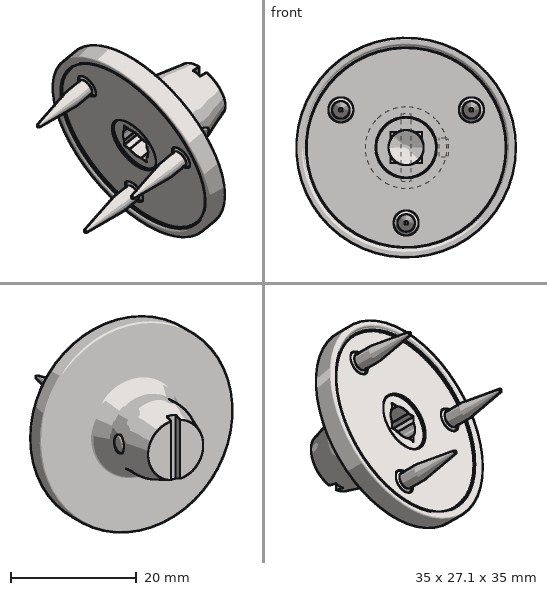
import cadquery as cq
import math


disc_radius = 17.5
disc_thickness = 3.65
disc_edge_round = 0.3
rim_inner_radius = 16.65
recess_radius = 15.95
floor_y = 1.05
lip_depth = 0.4
hub_end_y = 16.55
hub_end_radius = 5.0
hub_radius = 6.5
taper_corner_y = 11.0
taper_round = 5.25
flare_start_y = 6.9
flare_start_round = 0.52
flare_end_radius = 8.12
flare_end_round = 0.5
slot_width = 1.6
slot_depth = 1.47

plate_radius = 15.85
plate_thickness = 0.35
plate_hole_radius = 4.85

socket_radius = 4.75
socket_length = 11.2
square_side = 4.97
square_depth = 7.0
bore_radius = 2.8
bore_depth = 8.4
drill_point_angle = 120.0

spike_count = 3
spike_circle_radius = 12.0
spike_first_angle = 30.0
spike_radius = 1.4
spike_collar_radius = 2.0
spike_root_depth = 1.4
spike_taper_y = -2.87
spike_tip_y = -10.5
spike_tip_radius = 0.28

button_radius = 1.55
button_y = 9.62
button_base_x = 5.25
button_face_x = 6.72
button_round = 0.42

tolerance = 0.005


def revolve_about_y(profile):
    """Turn a closed half profile, drawn as (radius, y), about the Y axis."""
    return profile.close().revolve(360, (0, 0, 0), (0, 1, 0))


def cylinder_along_y(radius, start_y, end_y):
    profile = cq.Workplane("XY").moveTo(0, start_y).lineTo(radius, start_y)
    return revolve_about_y(profile.lineTo(radius, end_y).lineTo(0, end_y))


def round_ring_edge(body, radius, y, size):
    """Fillet the circular edge of the given radius at the given Y."""
    def is_wanted(edge):
        return abs(edge.radius() - radius) < tolerance and abs(edge.Center().y - y) < tolerance

    return body.edges("%CIRCLE").filter(is_wanted).fillet(size)


def make_button():
    button = cq.Workplane("YZ", origin=(button_base_x, button_y, 0)).circle(button_radius)
    return button.extrude(button_face_x - button_base_x).faces(">X").fillet(button_round)


def make_housing_blank():
    """Solid of revolution with a rimmed front recess and an S-shaped lip."""
    lip_half_width = (rim_inner_radius - recess_radius) / 2
    lip_half_depth = lip_depth / 2
    lip_middle = (recess_radius + lip_half_width, lip_half_depth)
    lip_arc_radius = (lip_half_width**2 + lip_half_depth**2) / (2 * lip_half_depth)
    profile = (
        cq.Workplane("XY")
        .moveTo(rim_inner_radius, 0)
        .lineTo(disc_radius, 0)
        .lineTo(disc_radius, disc_thickness)
        .lineTo(flare_end_radius, disc_thickness)
        .lineTo(hub_radius, flare_start_y)
        .lineTo(hub_radius, taper_corner_y)
        .lineTo(hub_end_radius, hub_end_y)
        .lineTo(0, hub_end_y)
        .lineTo(0, floor_y)
        .lineTo(recess_radius, floor_y)
        .lineTo(recess_radius, lip_depth)
        .radiusArc(lip_middle, lip_arc_radius)
        .radiusArc((rim_inner_radius, 0), -lip_arc_radius)
    )
    blank = revolve_about_y(profile)
    blank = round_ring_edge(blank, disc_radius, 0, disc_edge_round)
    blank = round_ring_edge(blank, disc_radius, disc_thickness, disc_edge_round)
    blank = round_ring_edge(blank, flare_end_radius, disc_thickness, flare_end_round)
    blank = round_ring_edge(blank, hub_radius, flare_start_y, flare_start_round)
    return round_ring_edge(blank, hub_radius, taper_corner_y, taper_round)


def make_socket_blank():
    return cylinder_along_y(socket_radius, floor_y, floor_y + socket_length)


def make_spike():
    """Spike with a 45 degree collar on the recess floor and a straight root below it."""
    collar_front_y = floor_y - (spike_collar_radius - spike_radius)
    root_end_y = floor_y + spike_root_depth
    profile = (
        cq.Workplane("XY")
        .moveTo(0, spike_tip_y)
        .lineTo(spike_tip_radius, spike_tip_y)
        .lineTo(spike_radius, spike_taper_y)
        .lineTo(spike_radius, collar_front_y)
        .lineTo(spike_collar_radius, floor_y)
        .lineTo(spike_radius, floor_y)
        .lineTo(spike_radius, root_end_y)
        .lineTo(0, root_end_y)
    )
    return revolve_about_y(profile)


def at_spikes(body):
    """Copies of a body moved from the Y axis to every spike position."""
    copies = []
    for index in range(spike_count):
        angle = math.radians(spike_first_angle + index * 360 / spike_count)
        x = spike_circle_radius * math.cos(angle)
        z = spike_circle_radius * math.sin(angle)
        copies.append(body.translate((x, 0, z)))
    return copies


def make_housing(socket_blank, button, spikes):
    slot = cq.Workplane("XY").box(slot_width, slot_depth, 2 * hub_radius)
    slot = slot.translate((0, hub_end_y - slot_depth / 2, 0))
    housing = make_housing_blank().cut(slot)
    for seated_body in [socket_blank, button, *spikes]:
        housing = housing.cut(seated_body)
    return housing


def make_plate():
    plate_face_y = floor_y - plate_thickness
    plate = cylinder_along_y(plate_radius, plate_face_y, floor_y)
    plate = plate.cut(cylinder_along_y(plate_hole_radius, plate_face_y, floor_y))
    for spike_hole in at_spikes(cylinder_along_y(spike_collar_radius, plate_face_y, floor_y)):
        plate = plate.cut(spike_hole)
    return plate


def make_socket(socket_blank):
    """Square socket with a wider drilled bore down its middle."""
    square = cq.Workplane("XY").box(square_side, square_depth, square_side)
    square = square.translate((0, floor_y + square_depth / 2, 0))
    bore_end_y = floor_y + bore_depth
    point_length = bore_radius / math.tan(math.radians(drill_point_angle / 2))
    bore_profile = (
        cq.Workplane("XY")
        .moveTo(0, floor_y)
        .lineTo(bore_radius, floor_y)
        .lineTo(bore_radius, bore_end_y)
        .lineTo(0, bore_end_y + point_length)
    )
    return socket_blank.cut(square).cut(revolve_about_y(bore_profile))


spikes = at_spikes(make_spike())
button = make_button()
socket_blank = make_socket_blank()
socket = make_socket(socket_blank)
plate = make_plate()
housing = make_housing(socket_blank, button, spikes)

result = cq.Compound.makeCompound(
    [housing.val(), plate.val(), socket.val(), button.val(), *[spike.val() for spike in spikes]]
)